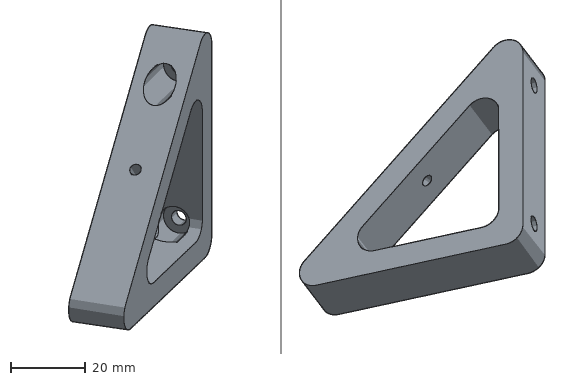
import cadquery as cq
import math

overall = 64.9
thickness = 16.0
corner_radius = 5.0
frame_width = 7.0

bolt_diameter = 4.2
bore_diameter = 8.8
upper_bolt_inset = 11.0
lower_bolt_height = 10.0
seat_thickness = 4.0
lower_bore_length = 9.55
bore_tip_angle = 118.0

cross_diameter = 3.2

tip_overshoot = math.sqrt(2) * corner_radius
sharp_leg = overall + tip_overshoot


def triangle_prism(inset):
    """Right-angled prism, moved inward by inset on all sides, with rounded corners."""
    leg = sharp_leg - (2 + math.sqrt(2)) * inset
    heel_y = overall - inset
    return (
        cq.Workplane("YZ")
        .moveTo(heel_y, inset)
        .lineTo(heel_y, inset + leg)
        .lineTo(heel_y - leg, inset)
        .close()
        .extrude(thickness / 2, both=True)
        .edges("|X")
        .fillet(corner_radius)
    )


def y_cylinder(diameter, z, y_end, length):
    """Cylinder along Y that runs from y_end toward -Y."""
    return cq.Workplane(
        cq.Solid.makeCylinder(diameter / 2, length, cq.Vector(0, y_end, z), cq.Vector(0, -1, 0))
    )


frame = triangle_prism(0).cut(triangle_prism(frame_width))

seat_y = overall - seat_thickness
for z, bore_length in ((overall - upper_bolt_inset, overall), (lower_bolt_height, lower_bore_length)):
    frame = frame.cut(y_cylinder(bolt_diameter, z, overall, seat_thickness + bore_length / 2))
    frame = frame.cut(y_cylinder(bore_diameter, z, seat_y, bore_length))

tip_length = bore_diameter / 2 / math.tan(math.radians(bore_tip_angle / 2))
bore_tip = cq.Solid.makeCone(
    bore_diameter / 2,
    0,
    tip_length,
    cq.Vector(0, seat_y - lower_bore_length, lower_bolt_height),
    cq.Vector(0, -1, 0),
)
frame = frame.cut(cq.Workplane(bore_tip))

slope_middle = cq.Vector(0, (overall - tip_overshoot) / 2, (overall + tip_overshoot) / 2)
inward = cq.Vector(0, 1, -1)
cross_hole = cq.Solid.makeCylinder(cross_diameter / 2, 2 * frame_width, slope_middle, inward)
result = frame.cut(cq.Workplane(cross_hole))